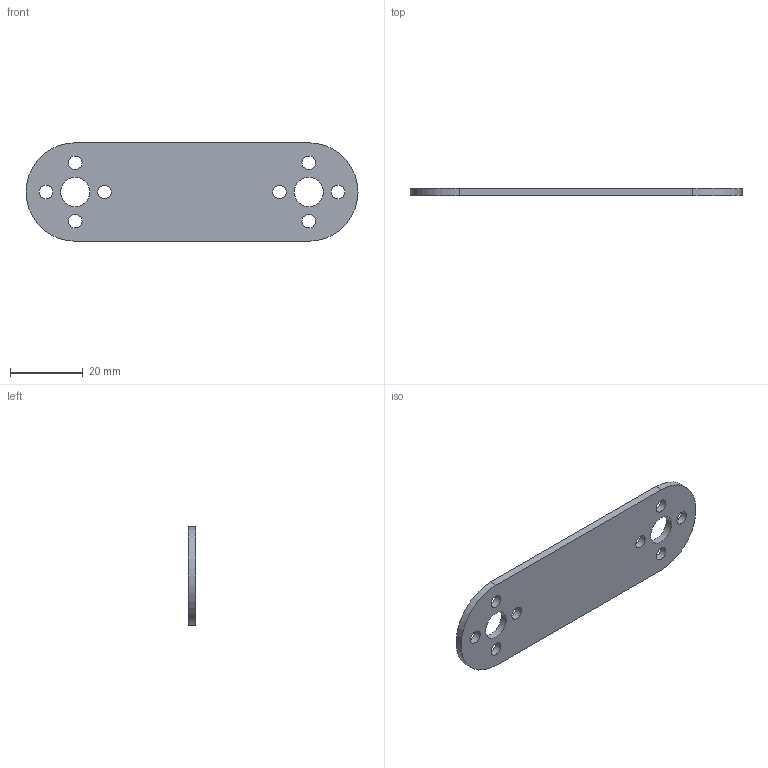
import cadquery as cq

center_distance = 64.0
plate_width = 27.0
plate_thickness = 2.0
plate_length = center_distance + plate_width

center_hole_diameter = 8.0
bolt_hole_diameter = 3.7
bolt_circle_radius = 8.0
bolt_count = 4


def make_plate():
    """Rounded-end plate centred on the origin."""
    return (
        cq.Workplane("XZ")
        .slot2D(plate_length, plate_width)
        .extrude(plate_thickness / 2, both=True)
    )


def cut_end_holes(plate, center_x):
    """Cut one centre hole and its ring of bolt holes through the plate."""
    end_plane = cq.Workplane("XZ", origin=(center_x, plate_thickness / 2, 0))
    center_hole = end_plane.circle(center_hole_diameter / 2).extrude(plate_thickness)
    bolt_holes = (
        end_plane
        .polarArray(bolt_circle_radius, 0, 360, bolt_count)
        .circle(bolt_hole_diameter / 2)
        .extrude(plate_thickness)
    )
    return plate.cut(center_hole).cut(bolt_holes)


result = make_plate()
for end_x in (-center_distance / 2, center_distance / 2):
    result = cut_end_holes(result, end_x)